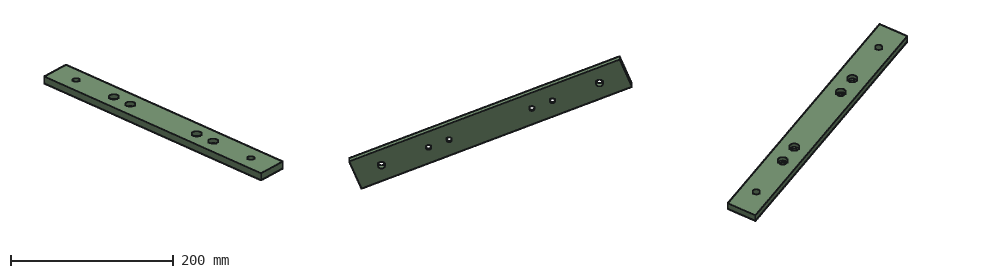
import cadquery as cq

length = 360.0
width = 40.0
thickness = 10.0

end_hole_diameter = 9.0
end_hole_offset = 145.0

screw_hole_diameter = 6.5
counterbore_diameter = 12.5
counterbore_depth = 6.0
inner_screw_offset = 55.0
outer_screw_offset = 82.5


def mirrored_points(*offsets):
    """Points along the bar's centreline, on both sides of the middle."""
    return [(side * offset, 0) for offset in offsets for side in (-1, 1)]


bar = cq.Workplane("XY").box(length, width, thickness, centered=(True, True, False))

bar = (
    bar.faces(">Z").workplane(origin=(0, 0, thickness))
    .pushPoints(mirrored_points(end_hole_offset))
    .hole(end_hole_diameter)
)

result = (
    bar.faces(">Z").workplane(origin=(0, 0, thickness))
    .pushPoints(mirrored_points(inner_screw_offset, outer_screw_offset))
    .cboreHole(screw_hole_diameter, counterbore_diameter, counterbore_depth)
)